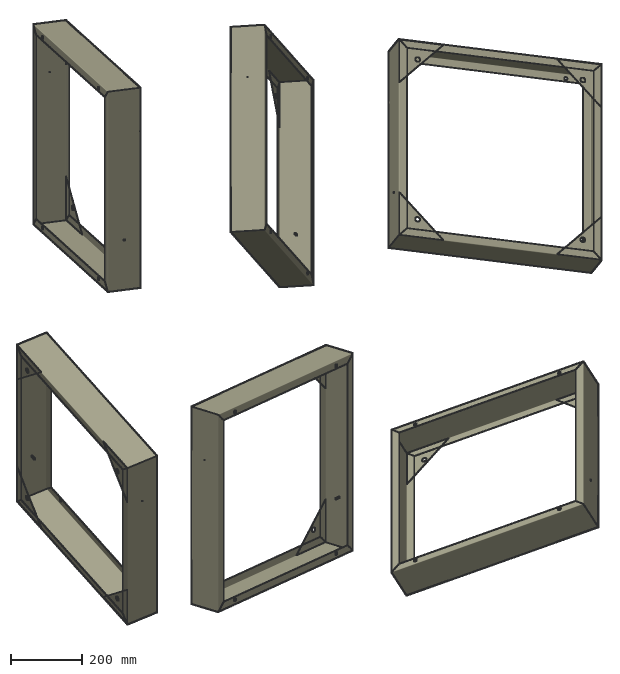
import cadquery as cq

frame_size = 600.0
frame_depth = 100.0
sheet_thickness = 1.0
flange_width = 24.6
inner_bend_radius = 1.0
outer_bend_radius = inner_bend_radius + sheet_thickness
half_size = frame_size / 2
half_depth = frame_depth / 2

mounting_hole_diameter = 9.0
mounting_hole_spacing = 450.0
mounting_hole_inset = 15.0

gusset_leg = 130.0
gusset_thickness = 1.0
gusset_hole_diameter = 14.0
gusset_hole_inset = 56.0
gusset_corner = half_size - outer_bend_radius
gusset_rear = half_depth - sheet_thickness

pilot_hole_diameter = 1.5
stud_diameter = 5.0
stud_length = 15.0
stud_offset = 150.0


def bare_rail():
    """Top rail: a C-channel along X with its open side facing down and 45 degree ends."""
    channel = (
        cq.Workplane("YZ")
        .rect(frame_depth, 2 * flange_width)
        .extrude(half_size, both=True)
        .edges("|X and >Z")
        .fillet(outer_bend_radius)
    )
    hollow = (
        cq.Workplane("YZ")
        .rect(frame_depth - 2 * sheet_thickness, 2 * (flange_width - sheet_thickness))
        .extrude(half_size, both=True)
        .edges("|X and >Z")
        .fillet(inner_bend_radius)
    )
    channel = channel.cut(hollow).translate((0, 0, half_size - flange_width))
    inner_half = half_size - flange_width
    mitre = (
        cq.Workplane("XZ")
        .polyline([
            (-half_size, half_size),
            (half_size, half_size),
            (inner_half, inner_half),
            (-inner_half, inner_half),
        ])
        .close()
        .extrude(half_depth, both=True)
    )
    return channel.intersect(mitre)


def mounting_rail():
    """Top rail with a pair of mounting holes through its front flange."""
    hole_z = half_size - mounting_hole_inset
    holes = (
        cq.Workplane("XZ")
        .pushPoints([(side * mounting_hole_spacing / 2, hole_z) for side in (-1, 1)])
        .circle(mounting_hole_diameter / 2)
        .extrude(half_depth)
    )
    return bare_rail().cut(holes)


def side_rail():
    """Rail on the +X side with a stud pilot hole through its web."""
    hole = (
        cq.Workplane("YZ")
        .center(0, -stud_offset)
        .circle(pilot_hole_diameter / 2)
        .extrude(half_size)
    )
    return bare_rail().rotate((0, 0, 0), (0, 1, 0), 90).cut(hole)


def gusset():
    """Triangular plate in the (+X, +Z) corner."""
    far_end = gusset_corner - gusset_leg
    hole_centre = half_size - gusset_hole_inset
    plate = (
        cq.Workplane("XZ", origin=(0, gusset_rear, 0))
        .polyline([
            (gusset_corner, gusset_corner),
            (far_end, gusset_corner),
            (gusset_corner, far_end),
        ])
        .close()
        .extrude(gusset_thickness)
    )
    hole = (
        cq.Workplane("XZ", origin=(0, gusset_rear, 0))
        .center(hole_centre, hole_centre)
        .circle(gusset_hole_diameter / 2)
        .extrude(gusset_thickness)
    )
    return plate.cut(hole)


def stud():
    """Round stud pointing inward from the web of the +X rail."""
    return (
        cq.Workplane("YZ", origin=(half_size - sheet_thickness, 0, -stud_offset))
        .circle(stud_diameter / 2)
        .extrude(-stud_length)
    )


def turned(body, angle):
    """The body turned about the frame's centre axis."""
    return body.rotate((0, 0, 0), (0, 1, 0), angle)


bodies = []
for angle in (0, 180):
    bodies.append(turned(mounting_rail(), angle).val())
    bodies.append(turned(side_rail(), angle).val())
for angle in (0, 90, 180, 270):
    bodies.append(turned(gusset(), angle).val())
bodies.append(stud().val())

result = cq.Compound.makeCompound(bodies)